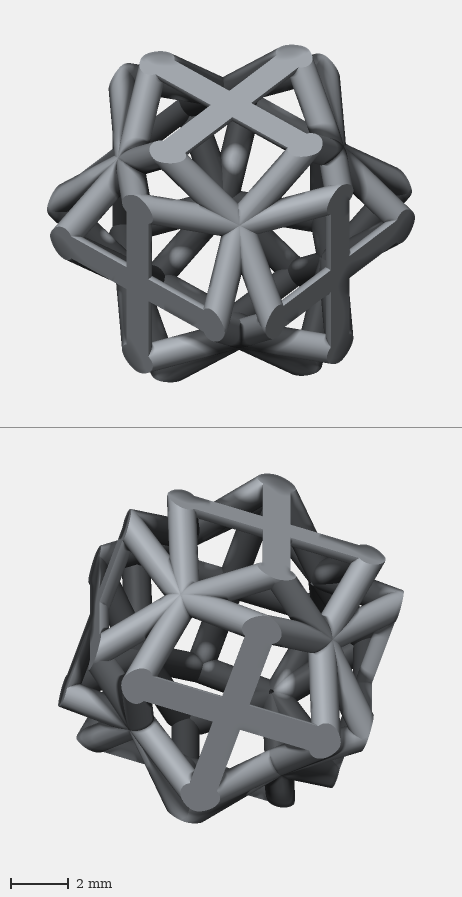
import cadquery as cq

cube_size = 10.0
strut_diameter = 1.0
arm_length = 3.5
node_offset = cube_size / 4

half = cube_size / 2
strut_radius = strut_diameter / 2
SIGNS = (-1, 1)


def strut(start, end):
    """Round bar whose axis runs from start to end."""
    origin = cq.Vector(*start)
    axis = cq.Vector(*end) - origin
    return cq.Workplane(obj=cq.Solid.makeCylinder(strut_radius, axis.Length, origin, axis))


def top_arm():
    """Half a cross bar along +X on the top face, with its joint and two struts down to the nodes."""
    joint = (arm_length, 0, half)
    arm = strut((0, 0, half), joint)
    for sign in SIGNS:
        node = (node_offset, sign * node_offset, node_offset)
        arm = arm.union(strut(node, joint))

    arm = arm.union(cq.Workplane("XY").sphere(strut_radius).translate(joint))

    return arm.intersect(cq.Workplane("XY").box(cube_size, cube_size, cube_size))


def top_cross():
    """Four arms around the centre of the top face."""
    arm = top_arm()
    cross = arm
    for quarter in range(1, 4):
        cross = cross.union(arm.rotate((0, 0, 0), (0, 0, 1), quarter * 90))
    return cross


cross = top_cross()
result = cross.union(cross.rotate((0, 0, 0), (1, 0, 0), 180))
for quarter in range(4):
    side_cross = cross.rotate((0, 0, 0), (1, 0, 0), 90).rotate((0, 0, 0), (0, 0, 1), quarter * 90)
    result = result.union(side_cross)